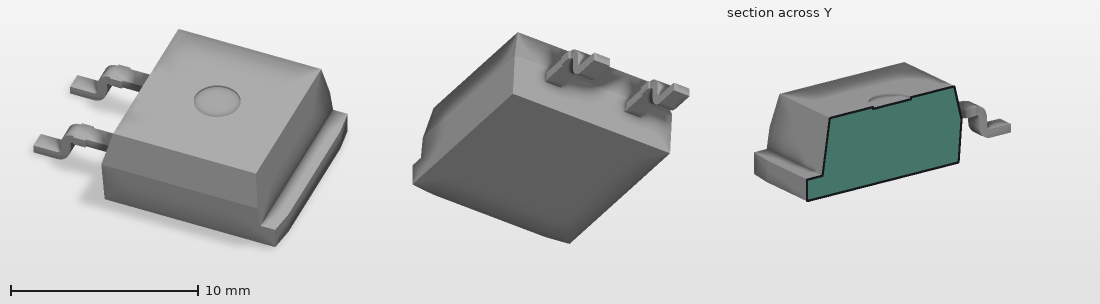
import cadquery as cq

total_length = 15.0
body_width = 10.0
body_height = 4.42

parting_height = 2.43
body_front_bottom = 4.95
body_front_parting = 4.75
body_front_top = 5.24
body_back_top = 13.5
side_taper = 0.5

tab_thickness = 1.25
tab_root = 13.98
tab_corner_length = 0.18
tab_corner_width = 1.42

mark_diameter = 2.5
mark_depth = 0.1

lead_pitch = 5.07
lead_width = 1.0
lead_thickness = 0.5
lead_top = 2.0
inner_bend = 0.25
outer_bend = inner_bend + lead_thickness
shoulder_start = 2.34
shoulder_length = 0.7
shoulder_width = 1.22
lead_end = body_front_top


def make_body():
    profile = [
        (body_front_bottom, 0),
        (body_front_parting, parting_height),
        (body_front_top, body_height),
        (body_back_top, body_height),
        (tab_root, tab_thickness),
        (tab_root, 0),
    ]
    body = cq.Workplane("XZ").polyline(profile).close().extrude(body_width / 2, both=True)

    half_width = body_width / 2
    section = [
        (-half_width, 0),
        (half_width, 0),
        (half_width, parting_height),
        (half_width - side_taper, body_height),
        (side_taper - half_width, body_height),
        (-half_width, parting_height),
    ]
    envelope = cq.Workplane("YZ").polyline(section).close().extrude(total_length)
    return body.intersect(envelope)


def make_tab():
    half_width = body_width / 2
    corner_x = total_length - tab_corner_length
    corner_y = half_width - tab_corner_width
    outline = [
        (body_back_top, -half_width),
        (corner_x, -half_width),
        (total_length, -corner_y),
        (total_length, corner_y),
        (corner_x, half_width),
        (body_back_top, half_width),
    ]
    return cq.Workplane("XY").polyline(outline).close().extrude(tab_thickness)


def make_lead(center_y):
    lead_bottom = lead_top - lead_thickness
    riser_front = shoulder_start - outer_bend
    riser_back = riser_front + lead_thickness
    foot_end = riser_back - outer_bend
    strip = (
        cq.Workplane("XZ")
        .moveTo(0, 0)
        .lineTo(foot_end, 0)
        .radiusArc((riser_back, outer_bend), -outer_bend)
        .lineTo(riser_back, lead_bottom - inner_bend)
        .radiusArc((shoulder_start, lead_bottom), inner_bend)
        .lineTo(lead_end, lead_bottom)
        .lineTo(lead_end, lead_top)
        .lineTo(shoulder_start, lead_top)
        .radiusArc((riser_front, lead_top - outer_bend), -outer_bend)
        .lineTo(riser_front, lead_thickness + inner_bend)
        .radiusArc((foot_end, lead_thickness), inner_bend)
        .lineTo(0, lead_thickness)
        .close()
        .extrude(lead_width / 2, both=True)
    )
    shoulder = (
        cq.Workplane("XY")
        .box(shoulder_length, shoulder_width, lead_thickness, centered=(False, True, False))
        .translate((shoulder_start, 0, lead_bottom))
    )
    return strip.union(shoulder).translate((0, center_y, 0))


def make_mark():
    mark_x = (body_front_top + body_back_top) / 2
    return (
        cq.Workplane("XY", origin=(mark_x, 0, body_height - mark_depth))
        .circle(mark_diameter / 2)
        .extrude(mark_depth)
    )


result = make_body().union(make_tab())
for side in (-1, 1):
    result = result.union(make_lead(side * lead_pitch / 2))
result = result.cut(make_mark())